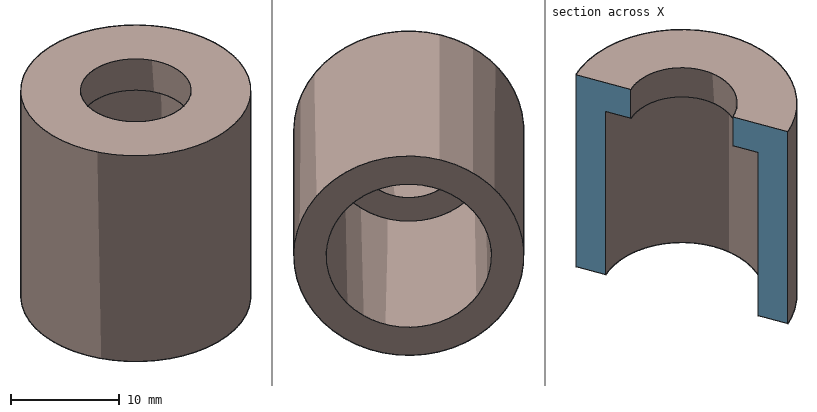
import cadquery as cq

height = 23.0
outer_diameter = 21.15
mouth_diameter = 10.17
mouth_depth = 3.5
chamber_diameter = 15.18

sleeve = cq.Workplane("XY").circle(outer_diameter / 2).extrude(height)

mouth = cq.Workplane("XY").circle(mouth_diameter / 2).extrude(height)

chamber = cq.Workplane("XY").circle(chamber_diameter / 2).extrude(height - mouth_depth)

result = sleeve.cut(mouth).cut(chamber)